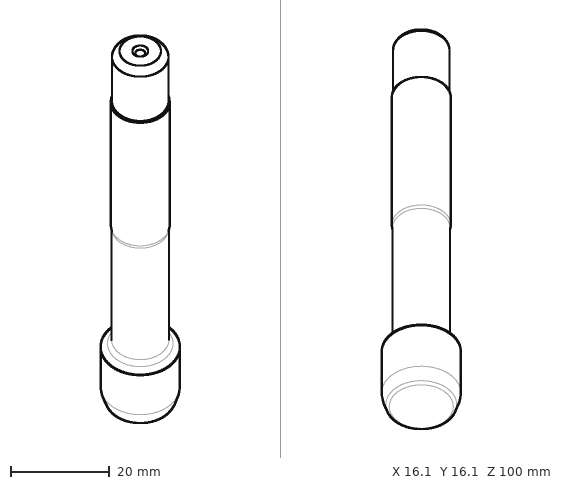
import cadquery as cq
import math

head_diameter = 16.1
collar_diameter = 13.3
guide_diameter = 12.0
shank_diameter = 11.7
tip_diameter = 11.5
tip_flat_diameter = 8.4
nose_lower_diameter = 14.4
nose_end_diameter = 13.0

nose_edge = 0.5
nose_top = 3.7
head_top = 15.0
shoulder_bottom = 15.2
collar_top = 16.1
shank_bottom = 17.3
guide_bottom = 50.1
guide_top = 85.7
tip_rim = 98.4
length = 100.0

undercut_height = 0.8
lead_in_height = 0.3
nose_bulge = 0.15
tip_bulge = 0.25

center_hole_diameter = 2.0
center_hole_depth = 3.0
countersink_diameter = 3.2
countersink_depth = 0.6


def make_head():
    """Cylindrical head with a bulged nose and a rounded lower edge."""
    return (
        cq.Workplane("XZ")
        .lineTo(nose_end_diameter / 2, 0)
        .tangentArcPoint((nose_lower_diameter / 2, nose_edge), relative=False)
        .sagittaArc((head_diameter / 2, nose_top), -nose_bulge)
        .lineTo(head_diameter / 2, head_top)
        .lineTo(0, head_top)
        .close()
        .revolve(360, (0, 0, 0), (0, 1, 0))
    )


def tangent_arc_middle(start_radius, start_level, end_radius, end_level):
    """Middle point of a hollow arc that ends parallel to the pin axis."""
    width = start_radius - end_radius
    height = start_level - end_level
    arc_radius = (width**2 + height**2) / (2 * width)
    half_angle = math.asin(height / arc_radius) / 2
    return (
        end_radius + arc_radius * (1 - math.cos(half_angle)),
        end_level + arc_radius * math.sin(half_angle),
    )


def make_pin():
    """Stepped pin with its coned shoulder, shank, guide length and rounded tip."""
    return (
        cq.Workplane("XZ")
        .moveTo(0, head_top)
        .lineTo(head_diameter / 2, head_top)
        .lineTo(head_diameter / 2, shoulder_bottom)
        .lineTo(collar_diameter / 2, collar_top)
        .threePointArc(
            tangent_arc_middle(collar_diameter / 2, collar_top, shank_diameter / 2, shank_bottom),
            (shank_diameter / 2, shank_bottom),
        )
        .lineTo(shank_diameter / 2, guide_bottom - undercut_height)
        .threePointArc(
            tangent_arc_middle(
                guide_diameter / 2, guide_bottom, shank_diameter / 2, guide_bottom - undercut_height
            ),
            (guide_diameter / 2, guide_bottom),
        )
        .lineTo(guide_diameter / 2, guide_top - lead_in_height)
        .lineTo(tip_diameter / 2, guide_top)
        .lineTo(tip_diameter / 2, tip_rim)
        .sagittaArc((tip_flat_diameter / 2, length), -tip_bulge)
        .lineTo(0, length)
        .close()
        .revolve(360, (0, 0, 0), (0, 1, 0))
    )


def make_center_hole():
    """Countersunk hole with a coned bottom, entering the upper end face."""
    hole_radius = center_hole_diameter / 2
    hole_bottom = length - center_hole_depth
    return (
        cq.Workplane("XZ")
        .moveTo(0, hole_bottom - hole_radius)
        .lineTo(hole_radius, hole_bottom)
        .lineTo(hole_radius, length - countersink_depth)
        .lineTo(countersink_diameter / 2, length)
        .lineTo(0, length)
        .close()
        .revolve(360, (0, 0, 0), (0, 1, 0))
    )


head = make_head()
pin = make_pin().cut(make_center_hole())

result = cq.Compound.makeCompound([pin.val(), head.val()])